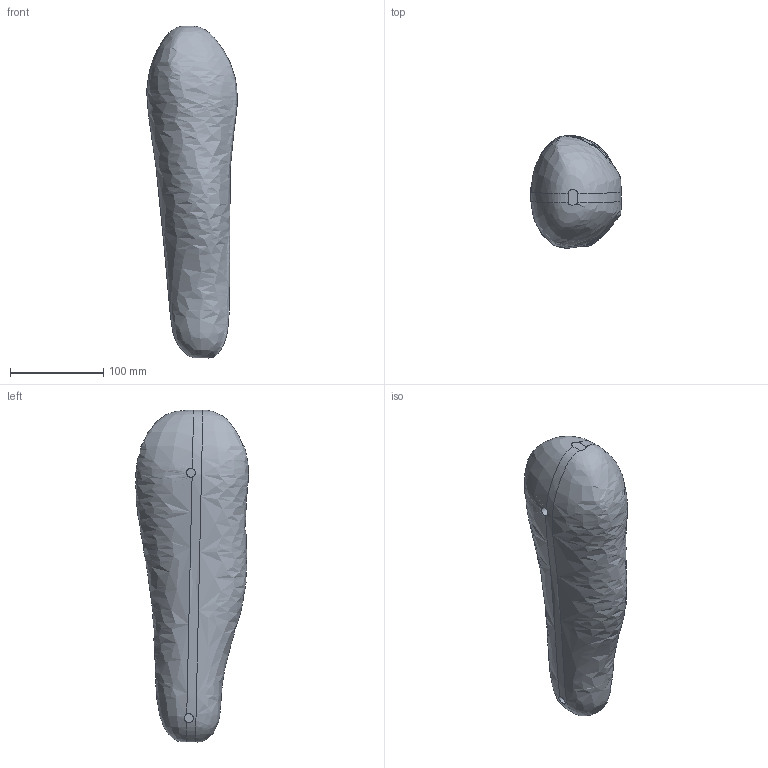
import cadquery as cq
import math

HEIGHT = 356.31
BAND_WIDTH = 10.0
BAND_TOP_SHIFT = -8.0
FLATNESS = 1.05
ARC_STEPS = 4

HOLE_DIAMETER = 9.7
HOLE_DEPTH = 12.0
UPPER_HOLE = (-0.2, 289.0)
LOWER_HOLE = (2.0, 25.5)

STATIONS = [
    (0.0, -4.0, 7.0, -9.0, 9.0, 0.50),
    (1.0, -11.0, 12.5, -13.0, 14.0, 0.50),
    (3.5, -15.5, 16.5, -17.8, 18.5, 0.50),
    (8.5, -20.7, 20.7, -23.7, 24.0, 0.50),
    (16.0, -26.0, 24.7, -28.0, 28.7, 0.50),
    (28.0, -30.5, 28.0, -31.0, 33.3, 0.50),
    (46.0, -33.3, 29.8, -32.5, 36.3, 0.51),
    (73.0, -35.8, 30.3, -35.7, 38.2, 0.53),
    (105.0, -38.7, 30.6, -43.4, 39.4, 0.56),
    (137.0, -41.6, 30.6, -53.0, 41.0, 0.58),
    (170.0, -44.4, 30.6, -59.2, 44.9, 0.58),
    (202.0, -48.2, 30.9, -60.0, 50.0, 0.56),
    (235.0, -53.0, 33.8, -59.2, 55.5, 0.50),
    (266.0, -57.3, 38.0, -60.5, 59.3, 0.44),
    (286.0, -58.5, 38.4, -62.0, 59.1, 0.40),
    (301.0, -57.0, 36.2, -61.0, 57.5, 0.36),
    (318.0, -52.6, 30.4, -56.8, 53.0, 0.32),
    (333.0, -46.0, 22.0, -48.8, 45.5, 0.30),
    (344.0, -39.0, 13.6, -40.8, 36.5, 0.32),
    (351.0, -32.3, 5.9, -32.3, 27.0, 0.36),
    (354.5, -26.3, -0.6, -24.5, 17.5, 0.40),
    (HEIGHT, -18.5, -8.5, -15.5, 1.5, 0.45),
]


def band_center(z):
    """Y of the middle of the parting band at height z."""
    return BAND_TOP_SHIFT * z / HEIGHT


def half_outline(z, left, right, band_y, crest_y, crest):
    """Smooth egg-shaped arch from the left to the right edge of the band."""
    crest_x = left + crest * (right - left)
    rise = crest_y - band_y
    points = []
    for step in range(2 * ARC_STEPS + 1):
        angle = math.pi / 2 * step / ARC_STEPS
        edge_x = left if step <= ARC_STEPS else right
        x = crest_x + (edge_x - crest_x) * abs(math.cos(angle)) ** FLATNESS
        y = band_y + rise * abs(math.sin(angle)) ** FLATNESS
        points.append(cq.Vector(x, y, z))
    outward = cq.Vector(0, math.copysign(1, rise), 0)
    knots = [float(step) for step in range(len(points))]
    return cq.Edge.makeSpline(points, tangents=[outward, outward * -1], parameters=knots)


def cross_section(z, left, right, front, back, crest):
    """Closed wire: straight band edges joined by a front and a back arch."""
    front_band = band_center(z) - BAND_WIDTH / 2
    back_band = band_center(z) + BAND_WIDTH / 2
    left_edge = cq.Edge.makeLine(cq.Vector(left, back_band, z), cq.Vector(left, front_band, z))
    right_edge = cq.Edge.makeLine(cq.Vector(right, front_band, z), cq.Vector(right, back_band, z))
    front_arch = half_outline(z, left, right, front_band, front, crest)
    back_arch = half_outline(z, left, right, back_band, back, crest)
    return cq.Wire.assembleEdges([left_edge, front_arch, right_edge, back_arch])


def left_surface_x(z):
    """X of the -X surface at height z, read between neighbouring stations."""
    for below, above in zip(STATIONS, STATIONS[1:]):
        if below[0] <= z <= above[0]:
            share = (z - below[0]) / (above[0] - below[0])
            return below[1] + share * (above[1] - below[1])
    raise ValueError("height outside the body")


def blind_hole(y, z):
    """Cutter for a flat-bottomed hole along X, entering from the -X side."""
    entry_clearance = HOLE_DIAMETER
    start = cq.Vector(left_surface_x(z) - entry_clearance, y, z)
    length = entry_clearance + HOLE_DEPTH
    return cq.Solid.makeCylinder(HOLE_DIAMETER / 2, length, start, cq.Vector(1, 0, 0))


body = cq.Workplane(cq.Solid.makeLoft([cross_section(*station) for station in STATIONS]))
for hole_position in (UPPER_HOLE, LOWER_HOLE):
    body = body.cut(cq.Workplane(blind_hole(*hole_position)))

result = body